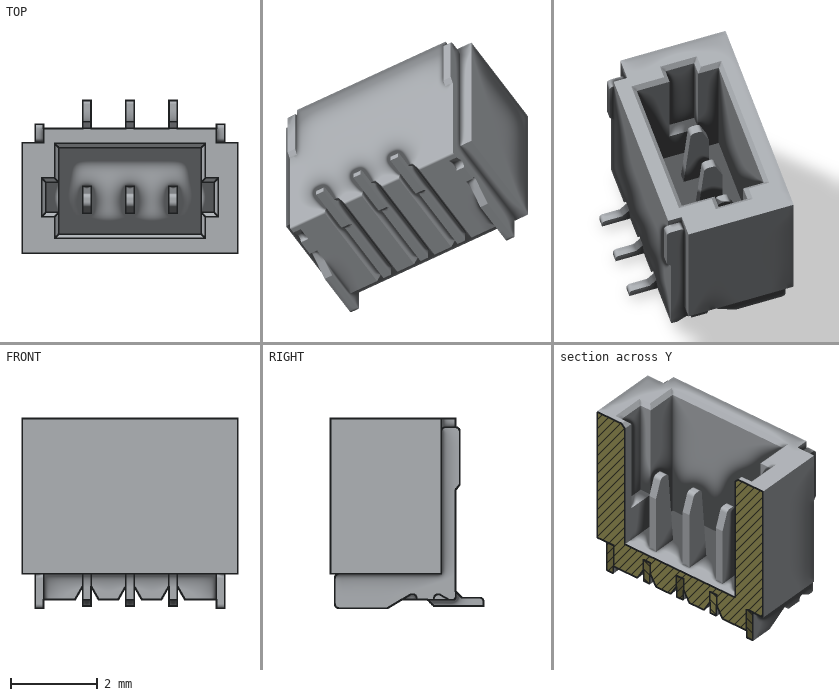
import cadquery as cq
import math


block_width = 5.0
block_depth = 2.57
block_bottom = 0.8
housing_top = 4.4

core_width = 4.0
core_front = 0.5
core_back = 2.9
core_bottom = 0.2
core_corner_radius = 0.05

cavity_width = 3.3
cavity_front = 0.45
cavity_depth = 2.0
cavity_floor = 1.0
key_span = 3.9
key_depth = 0.7
key_center_y = 1.3
key_floor = 1.9
lead_in = 0.1

pin_count = 3
pin_pitch = 1.0
pin_thickness = 0.2
tail_bottom = 0.05
tail_height = 0.2
tail_end = 3.55
tail_bend_y = 3.05
tail_heel_y = 2.4
tail_radius = 0.09
blade_front = 0.935
blade_back_at_floor = 1.555
blade_length = 2.0
blade_tip_front = 1.115
blade_front_angle = 70.0
blade_back_angle = 85.0
blade_tip_radius = 0.11

groove_width = 0.55
groove_side_angle = 60.0

clip_thickness = 0.2
clip_top = 4.2
clip_back = 3.0
clip_step_top = 2.87
clip_step_bottom = 2.74
clip_radius = 0.1
foot_front = 0.1
ramp_start = 1.32
ramp_slope = 0.6
tab_front = 2.0
tab_back = 2.4
tab_notch_back = 2.74

pin_positions = [(i - (pin_count - 1) / 2) * pin_pitch for i in range(pin_count)]
clip_offset = (core_width + clip_thickness) / 2


def centered_box(width, y_range, z_range):
    """Solid block that is symmetric about the YZ plane."""
    depth = y_range[1] - y_range[0]
    height = z_range[1] - z_range[0]
    block = cq.Workplane("XY").box(width, depth, height, centered=(True, False, False))
    return block.translate((0, y_range[0], z_range[0]))


def plate(outline, thickness):
    """Flat plate with a (y, z) outline, centred on the YZ plane."""
    return cq.Workplane("YZ").polyline(outline).close().extrude(thickness / 2, both=True)


def round_corners(body, corners, radius):
    """Round the edges along X that pass through the given (y, z) corners."""
    for y, z in corners:
        body = body.edges("|X").edges(cq.selectors.NearestToPointSelector((0, y, z))).fillet(radius)
    return body


def make_pin():
    """Contact pin in the YZ plane, cut from one flat plate."""
    front_slope = math.tan(math.radians(blade_front_angle))
    back_slope = math.tan(math.radians(blade_back_angle))
    bar_top = block_bottom
    blade_tip = cavity_floor + blade_length
    tip_front = (blade_tip_front, blade_tip)
    tip_back = (blade_back_at_floor - blade_length / back_slope, blade_tip)
    blade_shoulder = (blade_front, blade_tip - (blade_tip_front - blade_front) * front_slope)
    blade_back_root = (blade_back_at_floor + (cavity_floor - bar_top) / back_slope, bar_top)

    tail_top = tail_bottom + tail_height
    tail_corner = (tail_end, tail_top)
    bar_back = (tail_bend_y - (bar_top - tail_top), bar_top)
    heel_start = (tail_heel_y - (core_bottom - tail_bottom), core_bottom)

    pin = plate(
        [
            (core_front, core_bottom),
            heel_start,
            (tail_heel_y, tail_bottom),
            (tail_end, tail_bottom),
            tail_corner,
            (tail_bend_y, tail_top),
            bar_back,
            blade_back_root,
            tip_back,
            tip_front,
            blade_shoulder,
            (blade_front, bar_top),
            (core_front, bar_top),
        ],
        pin_thickness,
    )
    pin = round_corners(pin, [tail_corner], tail_radius)
    return round_corners(pin, [tip_front, tip_back], blade_tip_radius)


def make_clip():
    """Solder clip in the YZ plane, with a tab between two notches in its lower edge."""
    foot_bottom_corner = (foot_front, 0)
    foot_top_corner = (foot_front, block_bottom)
    leg_front_corner = (block_depth, clip_top)
    leg_back_corner = (clip_back, clip_top)
    heel = (core_back, core_bottom)
    front_notch = (tab_front, ramp_slope * (tab_front - ramp_start))
    back_notch = (tab_back, core_bottom + ramp_slope * (tab_notch_back - tab_back))

    clip = plate(
        [
            foot_bottom_corner,
            (ramp_start, 0),
            front_notch,
            (tab_front, core_bottom),
            (tab_back, core_bottom),
            back_notch,
            (tab_notch_back, core_bottom),
            heel,
            (core_back, clip_step_bottom),
            (clip_back, clip_step_top),
            leg_back_corner,
            leg_front_corner,
            (block_depth, block_bottom),
            foot_top_corner,
        ],
        clip_thickness,
    )
    plate_corners = [foot_bottom_corner, foot_top_corner, leg_front_corner, leg_back_corner]
    clip = round_corners(clip, plate_corners + [front_notch, back_notch], clip_radius)
    return round_corners(clip, [heel], core_corner_radius)


def make_cavity():
    """Room for the mating plug, with a key slot at each end."""
    cavity_y = (cavity_front, cavity_front + cavity_depth)
    key_y = (key_center_y - key_depth / 2, key_center_y + key_depth / 2)
    main_room = centered_box(cavity_width, cavity_y, (cavity_floor, housing_top))
    key_slots = centered_box(key_span, key_y, (key_floor, housing_top))
    return main_room.union(key_slots)


def make_groove():
    """Groove along the underside of the core that narrows upward to the pin's thickness."""
    half_width = groove_width / 2
    half_pin = pin_thickness / 2
    rise = (half_width - half_pin) * math.tan(math.radians(groove_side_angle))
    outline = [(-half_width, 0), (half_width, 0), (half_pin, rise), (-half_pin, rise)]
    sketch = cq.Workplane("XZ", origin=(0, core_front, core_bottom)).polyline(outline).close()
    return sketch.extrude(core_front - core_back)


def make_housing(seated_pins):
    """Block and core with the mating cavity, the grooves and a seat for each pin."""
    block = centered_box(block_width, (0, block_depth), (block_bottom, housing_top))
    core = centered_box(core_width, (core_front, core_back), (core_bottom, housing_top))
    core = round_corners(core, [(core_back, core_bottom)], core_corner_radius)
    body = block.union(core).cut(make_cavity())

    mouth_edges = body.faces(">Z").val().innerWires()[0].Edges()
    body = body.newObject(mouth_edges).chamfer(lead_in)

    groove = make_groove()
    for x in pin_positions:
        body = body.cut(groove.translate((x, 0, 0)))
    for pin in seated_pins:
        body = body.cut(pin)
    return body


pins = [make_pin().translate((x, 0, 0)) for x in pin_positions]
clips = [make_clip().translate((x, 0, 0)) for x in (-clip_offset, clip_offset)]
housing = make_housing(pins)

result = cq.Compound.makeCompound([body.solids().val() for body in [housing, *pins, *clips]])